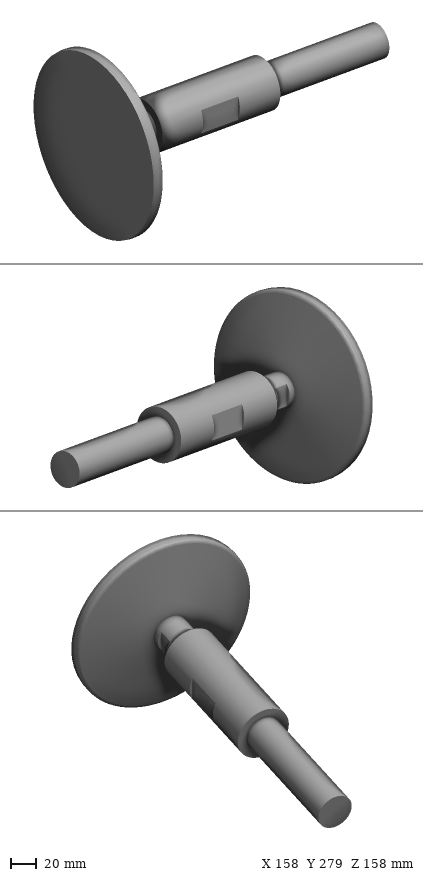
import cadquery as cq

total_length = 279.0
plate_diameter = 158.0

pad_bottom_diameter = 156.8
pad_thickness = 3.3
plate_cone_start = 9.5
plate_cone_end = 20.0
rim_radius = 3.0

stem_diameter = 30.0
sleeve_diameter = 46.0
sleeve_start = 50.5
sleeve_end = 166.0

stem_flats_start = 26.2
stem_flats_end = 40.5
stem_across_flats = 24.0
sleeve_flats_start = 90.0
sleeve_flats_end = 126.5
sleeve_across_flats = 41.0


def cylinder_along_y(diameter, start, end):
    """Solid cylinder on the Y axis between two Y positions."""
    disc = cq.Workplane("XZ", origin=(0, start, 0)).circle(diameter / 2)
    return disc.extrude(start - end)


def cut_wrench_flats(body, diameter, across_flats, start, end):
    """Cut two opposite flats into a round section of the body."""
    depth = (diameter - across_flats) / 2
    middle = (start + end) / 2
    for side in (-1, 1):
        cutter = cq.Workplane("XY").box(depth, end - start, diameter)
        offset = side * (across_flats + depth) / 2
        body = body.cut(cutter.translate((offset, middle, 0)))
    return body


def make_pad():
    """Flat round pad under the plate, with a slightly tapered side."""
    return (
        cq.Workplane("XY")
        .lineTo(pad_bottom_diameter / 2, 0)
        .lineTo(plate_diameter / 2, pad_thickness)
        .lineTo(0, pad_thickness)
        .close()
        .revolve(360, (0, 0, 0), (0, 1, 0))
    )


def make_plate():
    """Conical plate with a rounded edge between the rim and the cone."""
    plate_radius = plate_diameter / 2
    plate = (
        cq.Workplane("XY")
        .moveTo(0, pad_thickness)
        .lineTo(plate_radius, pad_thickness)
        .lineTo(plate_radius, plate_cone_start)
        .lineTo(stem_diameter / 2, plate_cone_end)
        .lineTo(0, plate_cone_end)
        .close()
        .revolve(360, (0, 0, 0), (0, 1, 0))
    )
    rim_edge = cq.selectors.NearestToPointSelector((0, plate_cone_start, 0))
    return plate.edges("%CIRCLE").edges(rim_edge).fillet(rim_radius)


def make_foot():
    """Plate, stem and sleeve in one piece, with both pairs of flats."""
    stem = cylinder_along_y(stem_diameter, plate_cone_end, total_length)
    stem = cut_wrench_flats(
        stem, stem_diameter, stem_across_flats, stem_flats_start, stem_flats_end
    )
    sleeve = cylinder_along_y(sleeve_diameter, sleeve_start, sleeve_end)
    sleeve = cut_wrench_flats(
        sleeve, sleeve_diameter, sleeve_across_flats, sleeve_flats_start, sleeve_flats_end
    )
    return make_plate().union(stem).union(sleeve)


pad = make_pad()
foot = make_foot()

result = cq.Compound.makeCompound([pad.val(), foot.solids().val()])